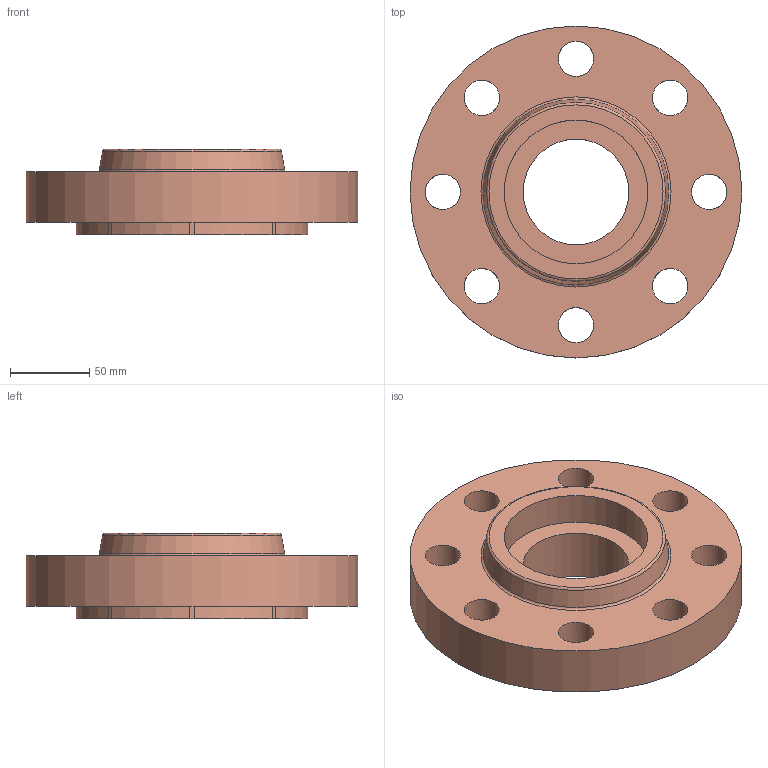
import cadquery as cq
import math

flange_diameter = 209.55
flange_thickness = 31.75
overall_height = 53.92

face_diameter = 146.05
face_height = 7.92

hub_base_diameter = 117.5
hub_taper_angle = 10
hub_top_round = 1.5
hub_root_fillet = 1.5

bore_diameter = 66.65
socket_diameter = 90.7
socket_depth = 20.6

bolt_hole_count = 8
bolt_hole_diameter = 22.35
bolt_circle_diameter = 168.15

selection_margin = 0.5

plate_top = face_height + flange_thickness
hub_height = overall_height - plate_top
hub_top_diameter = hub_base_diameter - 2 * hub_height * math.tan(math.radians(hub_taper_angle))


def disc(diameter, bottom, height):
    """Solid cylinder on the Z axis."""
    return cq.Workplane("XY").workplane(offset=bottom).circle(diameter / 2).extrude(height)


def flange_body():
    """Revolved raised face, plate and tapered hub, without any holes."""
    profile = [
        (0, 0),
        (face_diameter / 2, 0),
        (face_diameter / 2, face_height),
        (flange_diameter / 2, face_height),
        (flange_diameter / 2, plate_top),
        (hub_base_diameter / 2, plate_top),
        (hub_top_diameter / 2, overall_height),
        (0, overall_height),
    ]
    return cq.Workplane("XZ").polyline(profile).close().revolve(360, (0, 0), (0, 1))


def hub_edge(diameter, level):
    """Selector for the circular hub edge of the given diameter and level."""
    reach = diameter / 2 + selection_margin
    return cq.selectors.BoxSelector(
        (-reach, -reach, level - selection_margin),
        (reach, reach, level + selection_margin),
        boundingbox=True,
    )


def round_hub(body):
    """Round the hub rim and blend the hub foot into the plate."""
    body = body.edges(hub_edge(hub_top_diameter, overall_height)).fillet(hub_top_round)
    return body.edges(hub_edge(hub_base_diameter, plate_top)).fillet(hub_root_fillet)


def stepped_bore():
    """Through bore with the wider pipe socket at the hub end."""
    bore = disc(bore_diameter, 0, overall_height)
    socket = disc(socket_diameter, overall_height - socket_depth, socket_depth)
    return bore.union(socket)


def bolt_holes():
    """Ring of bolt holes; each one just grazes the rim of the raised face."""
    return (
        cq.Workplane("XY")
        .polarArray(bolt_circle_diameter / 2, 0, 360, bolt_hole_count)
        .circle(bolt_hole_diameter / 2)
        .extrude(plate_top)
    )


result = round_hub(flange_body()).cut(stepped_bore()).cut(bolt_holes())